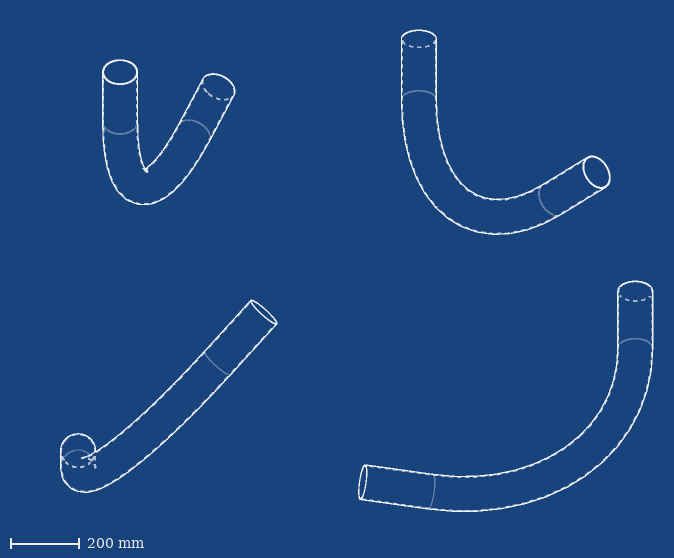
import cadquery as cq

overall_length = 864.0
outer_diameter = 102.0
inner_diameter = 96.0
straight_length = 203.0

bend_radius = overall_length - straight_length - outer_diameter / 2
bend_angle = 90


def ring(plane):
    """Pipe cross-section on the given plane."""
    return cq.Workplane(plane).circle(outer_diameter / 2).circle(inner_diameter / 2)


vertical_leg = ring("XY").extrude(straight_length)

bend = ring("XY").revolve(bend_angle, (0, bend_radius, 0), (1, bend_radius, 0))

horizontal_leg = (
    ring("XZ")
    .extrude(-straight_length)
    .translate((0, bend_radius, -bend_radius))
)

result = vertical_leg.union(bend).union(horizontal_leg)